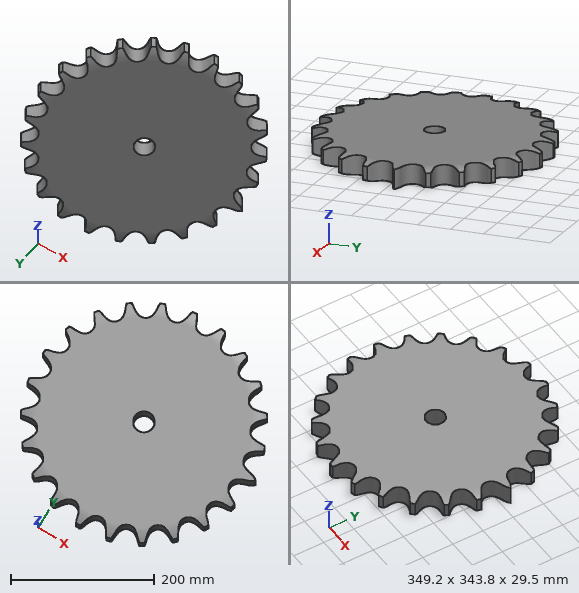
import cadquery as cq
import math


tooth_count = 23
pitch_diameter = 326.5
roller_diameter = 28.0
tip_diameter = 345.0
thickness = 29.5
bore_diameter = 30.0
shoulder_start_diameter = 303.5
tip_width = 21.0
sharp_tooth_step = 6
seat_clearance = 0.05

pitch_radius = pitch_diameter / 2
tip_radius = tip_diameter / 2
shoulder_start_radius = shoulder_start_diameter / 2
half_thickness = thickness / 2
half_tip_width = tip_width / 2
tooth_angle = 360 / tooth_count
half_tooth_angle = math.radians(tooth_angle / 2)
sharp_tooth_angle = -90 + sharp_tooth_step * tooth_angle
sector_radius = tip_radius + roller_diameter / 2
cutter_radius = tip_radius + roller_diameter

seat_radius = 0.5025 * roller_diameter + seat_clearance
working_offset = 0.8 * roller_diameter
topping_offset = 1.4 * roller_diameter
seat_end_angle = math.radians(35 + 60 / tooth_count)
working_arc_angle = math.radians(18 - 56 / tooth_count)


def polar(centre, radius, angle):
    return (centre[0] + radius * math.cos(angle), centre[1] + radius * math.sin(angle))


def direction(centre, point):
    return math.atan2(point[1] - centre[1], point[0] - centre[0])


def arc_middle(centre, start, end):
    radius = math.dist(centre, start)
    return polar(centre, radius, (direction(centre, start) + direction(centre, end)) / 2)


def mirrored(point):
    return (-point[0], point[1])


def tooth_gap():
    """Cutter for the space between two teeth, centred on the +Y axis."""
    roller_centre = (0, pitch_radius)
    root = (0, pitch_radius - seat_radius)
    seat_end = polar(roller_centre, seat_radius, -seat_end_angle)

    working_centre = polar(roller_centre, working_offset, math.pi - seat_end_angle)
    working_end_angle = working_arc_angle - seat_end_angle
    working_end = polar(working_centre, working_offset + seat_radius, working_end_angle)

    flank_angle = working_end_angle + math.pi / 2
    topping_centre = polar(roller_centre, topping_offset, -half_tooth_angle)
    flank_length = math.dist(working_end, topping_centre) * math.cos(
        direction(working_end, topping_centre) - flank_angle
    )
    flank_end = polar(working_end, flank_length, flank_angle)
    topping_radius = math.dist(topping_centre, flank_end)

    centre_line_angle = math.pi / 2 - half_tooth_angle
    offset_angle = direction((0, 0), topping_centre) - centre_line_angle
    centre_distance = math.hypot(*topping_centre)
    point_radius = centre_distance * math.cos(offset_angle) + math.sqrt(
        topping_radius**2 - (centre_distance * math.sin(offset_angle)) ** 2
    )
    tooth_point = polar((0, 0), point_radius, centre_line_angle)
    outer_corner = polar((0, 0), cutter_radius, centre_line_angle)

    working_middle = arc_middle(working_centre, seat_end, working_end)
    topping_start_angle = working_end_angle + math.pi
    topping_end_angle = direction(topping_centre, tooth_point)
    topping_middle_angle = (topping_start_angle + topping_end_angle) / 2
    topping_middle = polar(topping_centre, topping_radius, topping_middle_angle)

    return (
        cq.Workplane("XY")
        .workplane(offset=-half_thickness)
        .moveTo(*mirrored(seat_end))
        .threePointArc(root, seat_end)
        .threePointArc(working_middle, working_end)
        .lineTo(*flank_end)
        .threePointArc(topping_middle, tooth_point)
        .lineTo(*outer_corner)
        .lineTo(*mirrored(outer_corner))
        .lineTo(*mirrored(tooth_point))
        .threePointArc(mirrored(topping_middle), mirrored(flank_end))
        .lineTo(*mirrored(working_end))
        .threePointArc(mirrored(working_middle), mirrored(seat_end))
        .close()
        .extrude(thickness)
    )


def rounded_blank():
    """Disc whose rim curves in from both flat faces to the narrower tips."""
    shoulder_width = tip_radius - shoulder_start_radius
    shoulder_drop = half_thickness - half_tip_width
    shoulder_radius = (shoulder_width**2 + shoulder_drop**2) / (2 * shoulder_drop)
    shoulder_centre = (shoulder_start_radius, half_thickness - shoulder_radius)
    shoulder_start = (shoulder_start_radius, half_thickness)
    shoulder_end = (tip_radius, half_tip_width)
    middle = arc_middle(shoulder_centre, shoulder_start, shoulder_end)

    return (
        cq.Workplane("XZ")
        .moveTo(0, -half_thickness)
        .lineTo(shoulder_start_radius, -half_thickness)
        .threePointArc((middle[0], -middle[1]), (tip_radius, -half_tip_width))
        .lineTo(*shoulder_end)
        .threePointArc(middle, shoulder_start)
        .lineTo(0, half_thickness)
        .close()
        .revolve(360, (0, 0, 0), (0, 1, 0))
    )


def sharp_tooth_sector():
    """Full-thickness wedge, one tooth wide, that supplies the sharp tooth."""
    corner = polar((0, 0), sector_radius, half_tooth_angle)
    return (
        cq.Workplane("XY")
        .workplane(offset=-half_thickness)
        .polyline([(0, 0), (corner[0], -corner[1]), corner])
        .close()
        .extrude(thickness)
        .rotate((0, 0, 0), (0, 0, 1), sharp_tooth_angle)
    )


result = rounded_blank().union(sharp_tooth_sector())

gap = tooth_gap()
for index in range(tooth_count):
    result = result.cut(gap.rotate((0, 0, 0), (0, 0, 1), index * tooth_angle))

bore = cq.Workplane("XY").workplane(offset=-half_thickness).circle(bore_diameter / 2).extrude(thickness)
result = result.cut(bore)